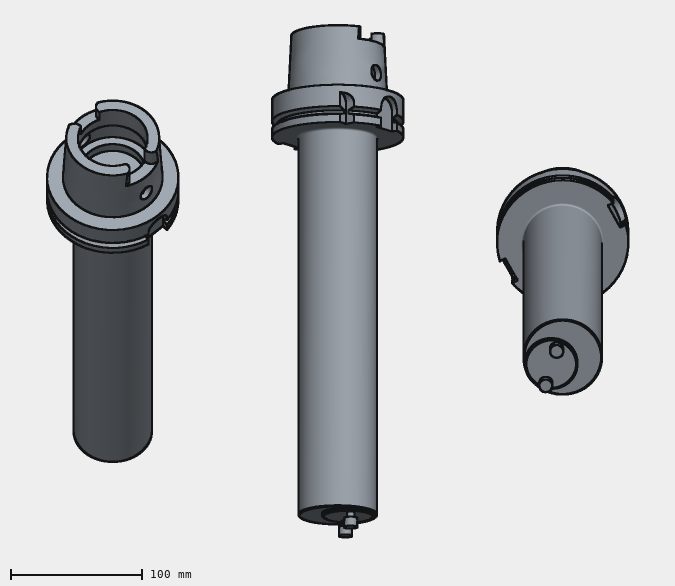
import cadquery as cq

TOTAL_LENGTH = 389.0

TAPER_LENGTH = 50.0
TAPER_BASE_DIAMETER = 76.0
TAPER_TOP_DIAMETER = 70.8
BORE_DIAMETER = 53.0
BORE_MOUTH_DEPTH = 20.0
UNDERCUT_DIAMETER = 63.0
UNDERCUT_FLOOR_HEIGHT = 8.5
FLOOR_RECESS_DIAMETER = 49.8
CROSS_HOLE_DIAMETER = 12.0
CROSS_HOLE_HEIGHT = 16.0

KEYWAY_WIDTH = 19.5
KEYWAY_CORNER_RADIUS = 6.0
KEYWAY_FLAT_X = 32.0
SHALLOW_KEYWAY_DEPTH = 9.7
DEEP_KEYWAY_DEPTH = 14.8

FLANGE_DIAMETER = 100.0
FLANGE_THICKNESS = 29.0
GROOVE_FLOOR_DIAMETER = 91.8
GROOVE_TOP = 16.7
GROOVE_BOTTOM = 23.0
GROOVE_UPPER_FLANK = 2.5
GROOVE_LOWER_FLANK = 1.5

GRIPPER_SLOT_WIDTH = 20.0
NOTCH_WIDTH = 15.5
GRIPPER_SLOT_TOP = 4.5
NOTCH_TOP = 6.0
GRIPPER_SLOT_FLOOR = 44.5
NOTCH_FLOOR = 31.5
NOTCH_OFFSET = 39.0

BODY_DIAMETER = 60.0
NECK_DIAMETER = 63.0
NECK_RADIUS = (NECK_DIAMETER - BODY_DIAMETER) / 2
BODY_END_CHAMFER = 0.8

BOSS_DIAMETER = 40.0
BOSS_HEIGHT = 2.5
BOSS_CHAMFER = 1.0
PIN_NECK_DIAMETER = 6.0
PIN_NECK_LENGTH = 4.5
PIN_HEAD_DIAMETER = 10.0
PIN_HEAD_LENGTH = 7.0
PIN_OFFSET = 10.0
BOSS_CENTRE_X = (BOSS_DIAMETER - BODY_DIAMETER) / 2

END_Z = TAPER_LENGTH - TOTAL_LENGTH
PIN_NECK_Z = END_Z + PIN_HEAD_LENGTH
BOSS_FACE_Z = PIN_NECK_Z + PIN_NECK_LENGTH
BODY_END_Z = BOSS_FACE_Z + BOSS_HEIGHT


def cylinder(diameter, bottom, top, x=0.0, y=0.0):
    """Upright cylinder between two heights."""
    return cq.Workplane("XY", origin=(x, y, bottom)).circle(diameter / 2).extrude(top - bottom)


def revolved_blank():
    """Taper, grooved flange, neck and body turned in one piece."""
    flange_radius = FLANGE_DIAMETER / 2
    groove_radius = GROOVE_FLOOR_DIAMETER / 2
    body_radius = BODY_DIAMETER / 2
    neck_end = -FLANGE_THICKNESS - NECK_RADIUS
    return (
        cq.Workplane("XZ")
        .moveTo(0, TAPER_LENGTH)
        .lineTo(TAPER_TOP_DIAMETER / 2, TAPER_LENGTH)
        .lineTo(TAPER_BASE_DIAMETER / 2, 0)
        .lineTo(flange_radius, 0)
        .lineTo(flange_radius, -GROOVE_TOP)
        .lineTo(groove_radius, -GROOVE_TOP - GROOVE_UPPER_FLANK)
        .lineTo(groove_radius, -GROOVE_BOTTOM + GROOVE_LOWER_FLANK)
        .lineTo(flange_radius, -GROOVE_BOTTOM)
        .lineTo(flange_radius, -FLANGE_THICKNESS)
        .lineTo(NECK_DIAMETER / 2, -FLANGE_THICKNESS)
        .radiusArc((body_radius, neck_end), -NECK_RADIUS)
        .lineTo(body_radius, BODY_END_Z + BODY_END_CHAMFER)
        .lineTo(body_radius - BODY_END_CHAMFER, BODY_END_Z)
        .lineTo(0, BODY_END_Z)
        .close()
        .revolve(360, (0, 0, 0), (0, 1, 0))
    )


def stepped_bore():
    """Blind bore of the taper: narrow mouth, wider undercut and a shallow recess in the floor."""
    mouth = cylinder(BORE_DIAMETER, UNDERCUT_FLOOR_HEIGHT, TAPER_LENGTH)
    undercut = cylinder(UNDERCUT_DIAMETER, UNDERCUT_FLOOR_HEIGHT, TAPER_LENGTH - BORE_MOUTH_DEPTH)
    recess = cylinder(FLOOR_RECESS_DIAMETER, 0, UNDERCUT_FLOOR_HEIGHT)
    return mouth.union(undercut).union(recess)


def cross_hole():
    """Hole along X through both walls of the taper."""
    return (
        cq.Workplane("YZ")
        .center(0, CROSS_HOLE_HEIGHT)
        .circle(CROSS_HOLE_DIAMETER / 2)
        .extrude(FLANGE_DIAMETER / 2, both=True)
    )


def keyway(depth):
    """Cutter for the keyway on the +X side: rounded corners lead out to a flat across the taper."""
    half_width = KEYWAY_WIDTH / 2
    corner_start = KEYWAY_FLAT_X - KEYWAY_CORNER_RADIUS
    corner_end = half_width + KEYWAY_CORNER_RADIUS
    outside = FLANGE_DIAMETER / 2
    return (
        cq.Workplane("XY", origin=(0, 0, TAPER_LENGTH - depth))
        .moveTo(0, -half_width)
        .lineTo(corner_start, -half_width)
        .radiusArc((KEYWAY_FLAT_X, -corner_end), KEYWAY_CORNER_RADIUS)
        .lineTo(KEYWAY_FLAT_X, -outside)
        .lineTo(outside, -outside)
        .lineTo(outside, outside)
        .lineTo(KEYWAY_FLAT_X, outside)
        .lineTo(KEYWAY_FLAT_X, corner_end)
        .radiusArc((corner_start, half_width), KEYWAY_CORNER_RADIUS)
        .lineTo(0, half_width)
        .close()
        .extrude(depth)
    )


def rim_slot(width, top, floor, offset=0.0):
    """Cutter for a round-topped slot on the +X side of the flange."""
    radius = width / 2
    shoulder = -top - radius
    return (
        cq.Workplane("YZ", origin=(floor, offset, 0))
        .moveTo(-radius, -FLANGE_THICKNESS)
        .lineTo(-radius, shoulder)
        .threePointArc((0, -top), (radius, shoulder))
        .lineTo(radius, -FLANGE_THICKNESS)
        .close()
        .extrude(FLANGE_DIAMETER / 2)
    )


def to_minus_x(cutter):
    """Mirror a cutter from the +X side to the -X side."""
    return cutter.mirror("YZ")


def headed_pin(x, y):
    """Pin with a narrow neck and a wide head, hanging from the boss."""
    neck = cylinder(PIN_NECK_DIAMETER, PIN_NECK_Z, BOSS_FACE_Z, x, y)
    return neck.union(cylinder(PIN_HEAD_DIAMETER, END_Z, PIN_NECK_Z, x, y))


result = revolved_blank().cut(stepped_bore()).cut(cross_hole())

result = result.cut(keyway(DEEP_KEYWAY_DEPTH))
result = result.cut(to_minus_x(keyway(SHALLOW_KEYWAY_DEPTH)))

gripper_slot = rim_slot(GRIPPER_SLOT_WIDTH, GRIPPER_SLOT_TOP, GRIPPER_SLOT_FLOOR)
result = result.cut(gripper_slot).cut(to_minus_x(gripper_slot))
notch = rim_slot(NOTCH_WIDTH, NOTCH_TOP, NOTCH_FLOOR, NOTCH_OFFSET)
result = result.cut(to_minus_x(notch))

boss = cylinder(BOSS_DIAMETER, BOSS_FACE_Z, BODY_END_Z, BOSS_CENTRE_X)
result = result.union(boss.faces("<Z").chamfer(BOSS_CHAMFER))

for side in (-1, 1):
    result = result.union(headed_pin(BOSS_CENTRE_X + side * PIN_OFFSET, -side * PIN_OFFSET))